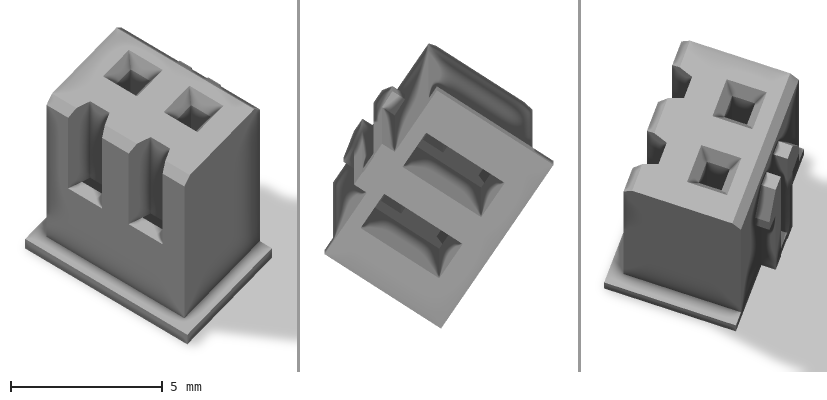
import cadquery as cq

CONTACT_COUNT = 2
CONTACT_PITCH = 2.5
HEIGHT = 7.7
BODY_WIDTH = 5.7
BODY_DEPTH = 4.1
TOP_CHAMFER = 0.3

FLANGE_OVERHANG = 0.5
FLANGE_THICKNESS = 0.5

ENTRY_SIZE = 1.4
PASSAGE_SIZE = 0.8
ENTRY_DEPTH = 0.5
SOCKET_BACK_OFFSET = 1.5

SLOT_MOUTH_WIDTH = 1.4
SLOT_INNER_WIDTH = 0.8
SLOT_DEPTH = 0.8
SLOT_HEIGHT = 4.0

CAVITY_WIDTH = 1.4
CAVITY_WALL = 0.5
CAVITY_HEIGHT = HEIGHT - SLOT_HEIGHT

LATCH_THICKNESS = 0.5
LATCH_GAP = 0.67
LATCH_WIDTH = 2.9
LATCH_HEIGHT = 6.7
LATCH_STEM_WIDTH = 1.67
BARB_TOP = 5.33
BARB_BOTTOM = 4.7
BARB_UNDERCUT_HEIGHT = 0.13
WEB_HEIGHT = FLANGE_THICKNESS
WEB_THICKNESS = 0.48

FRONT_Y = -BODY_DEPTH / 2
BACK_Y = BODY_DEPTH / 2
SOCKET_Y = BACK_Y - SOCKET_BACK_OFFSET
CONTACT_XS = [(i - (CONTACT_COUNT - 1) / 2) * CONTACT_PITCH for i in range(CONTACT_COUNT)]


def make_body():
    """Block with its front and back top edges chamfered."""
    block = cq.Workplane("XY").box(BODY_WIDTH, BODY_DEPTH, HEIGHT, centered=(True, True, False))
    return block.faces(">Z").edges("|X").chamfer(TOP_CHAMFER)


def make_flange():
    """Plate around the foot of the body."""
    width = BODY_WIDTH + 2 * FLANGE_OVERHANG
    depth = BODY_DEPTH + FLANGE_OVERHANG
    plate = cq.Workplane("XY").box(width, depth, FLANGE_THICKNESS, centered=(True, True, False))
    return plate.translate((0, -FLANGE_OVERHANG / 2, 0))


def make_socket(x):
    """Cutter for one pin socket: tapered entry and straight through passage."""
    entry = (
        cq.Workplane("XY", origin=(x, SOCKET_Y, HEIGHT))
        .rect(ENTRY_SIZE, ENTRY_SIZE)
        .workplane(offset=-ENTRY_DEPTH)
        .rect(PASSAGE_SIZE, PASSAGE_SIZE)
        .loft(ruled=True)
    )
    passage = (
        cq.Workplane("XY", origin=(x, SOCKET_Y, 0))
        .rect(PASSAGE_SIZE, PASSAGE_SIZE)
        .extrude(HEIGHT - ENTRY_DEPTH)
    )
    return entry.union(passage)


def make_slot(x):
    """Cutter for one front slot, narrowing from the front face inwards."""
    half_mouth = SLOT_MOUTH_WIDTH / 2
    half_inner = SLOT_INNER_WIDTH / 2
    return (
        cq.Workplane("XY", origin=(x, FRONT_Y, HEIGHT - SLOT_HEIGHT))
        .moveTo(-half_mouth, 0)
        .lineTo(half_mouth, 0)
        .lineTo(half_inner, SLOT_DEPTH)
        .lineTo(-half_inner, SLOT_DEPTH)
        .close()
        .extrude(SLOT_HEIGHT)
    )


def make_cavity(x):
    """Cutter for one contact cavity between the front and back walls."""
    depth = BODY_DEPTH - 2 * CAVITY_WALL
    return cq.Workplane("XY", origin=(x, 0, 0)).rect(CAVITY_WIDTH, depth).extrude(CAVITY_HEIGHT)


def make_latch():
    """Mirrored pair of barbed arms on the back face, with the web between them."""
    outer_x = LATCH_WIDTH / 2
    stem_x = LATCH_STEM_WIDTH / 2
    inner_x = LATCH_GAP / 2
    right_arm = (
        cq.Workplane("XZ", origin=(0, BACK_Y, 0))
        .moveTo(inner_x, 0)
        .lineTo(stem_x, 0)
        .lineTo(stem_x, BARB_BOTTOM - BARB_UNDERCUT_HEIGHT)
        .lineTo(outer_x, BARB_BOTTOM)
        .lineTo(outer_x, BARB_TOP)
        .lineTo(stem_x, LATCH_HEIGHT)
        .lineTo(inner_x, LATCH_HEIGHT)
        .close()
        .extrude(-LATCH_THICKNESS)
    )
    web = (
        cq.Workplane("XY", origin=(0, BACK_Y + WEB_THICKNESS / 2, 0))
        .rect(LATCH_GAP, WEB_THICKNESS)
        .extrude(WEB_HEIGHT)
    )
    return right_arm.union(right_arm.mirror("YZ")).union(web)


result = make_body().union(make_flange()).union(make_latch())
for contact_x in CONTACT_XS:
    for make_cutter in (make_socket, make_slot, make_cavity):
        result = result.cut(make_cutter(contact_x))